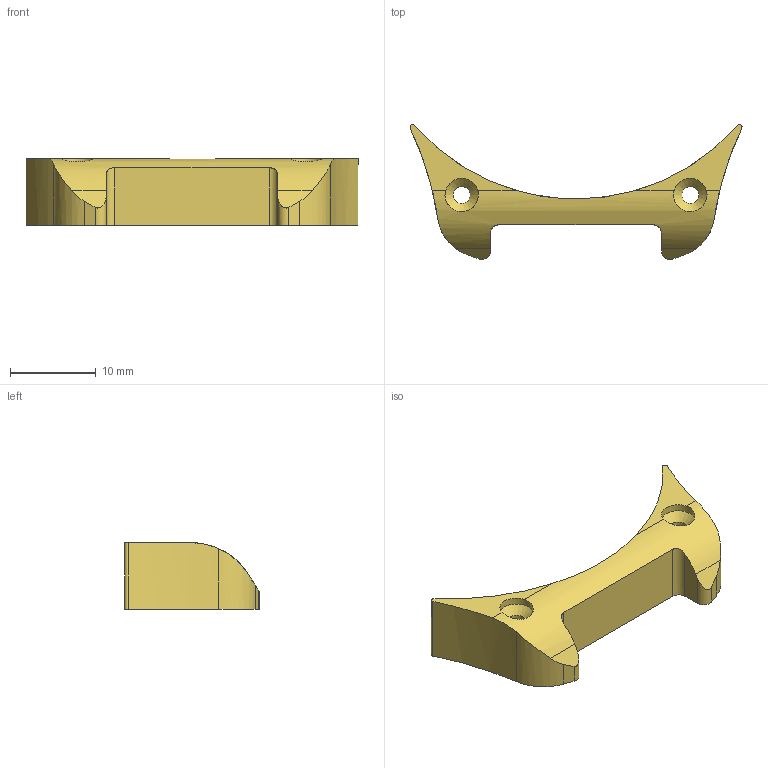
import math

import cadquery as cq

LENGTH = 38.8
DEPTH = 15.75
HEIGHT = 7.8
FRONT_Y = -8.04
HORN_TOP_Y = FRONT_Y + DEPTH

HORN_RADIUS = 0.3
BACK_RADIUS = 25.0

CORNER_TOP = (16.16, -3.26)
CORNER_TOP_LEAN = 8.5

TOE_ANGLE = 19.0
TOE_RADIUS = 1.0

NOTCH_HALF_WIDTH = 10.0
NOTCH_Y = -4.0
NOTCH_RADIUS = 1.0

CROWN_RADIUS = 8.0
CROWN_ANGLE = 58.0

HOLE_X = 13.36
HOLE_Y = -0.52
HOLE_DIAMETER = 2.0
HEAD_DIAMETER = 3.9
RECESS_DEPTH = 0.85
COUNTERSINK_DEPTH = (HEAD_DIAMETER - HOLE_DIAMETER) / 2


def polar(center, radius, degrees):
    """Point at a radius and angle about a center."""
    angle = math.radians(degrees)
    return (center[0] + radius * math.cos(angle), center[1] + radius * math.sin(angle))


def mirrored(point):
    """Same point on the other side of the YZ plane."""
    return (-point[0], point[1])


def arc_middle(start, end, radius, side):
    """Middle point of a minor arc; side +1 bulges left of start-to-end, -1 right."""
    dx = end[0] - start[0]
    dy = end[1] - start[1]
    chord = math.hypot(dx, dy)
    bulge = side * (radius - math.sqrt(radius**2 - (chord / 2) ** 2))
    return (
        (start[0] + end[0]) / 2 - bulge * dy / chord,
        (start[1] + end[1]) / 2 + bulge * dx / chord,
    )


def horn_points():
    """Right horn: lowest point of the back arc, then the horn round and flank arc."""
    horn_center = (LENGTH / 2 - HORN_RADIUS, HORN_TOP_Y - HORN_RADIUS)
    back_reach = math.sqrt((BACK_RADIUS + HORN_RADIUS) ** 2 - horn_center[0] ** 2)
    back_center = (0, horn_center[1] + back_reach)
    back_lowest = (0, back_center[1] - BACK_RADIUS)

    back_angle = math.degrees(math.atan2(back_reach, -horn_center[0]))
    horn_inner = polar(horn_center, HORN_RADIUS, back_angle)

    corner_normal = polar((0, 0), 1, -CORNER_TOP_LEAN)
    offset = (CORNER_TOP[0] - horn_center[0], CORNER_TOP[1] - horn_center[1])
    offset_along_normal = offset[0] * corner_normal[0] + offset[1] * corner_normal[1]
    offset_squared = offset[0] ** 2 + offset[1] ** 2
    flank_radius = (offset_squared - HORN_RADIUS**2) / (2 * (HORN_RADIUS - offset_along_normal))
    flank_center = polar(CORNER_TOP, flank_radius, -CORNER_TOP_LEAN)
    flank_rise = horn_center[1] - flank_center[1]
    flank_run = horn_center[0] - flank_center[0]
    horn_outer_angle = math.degrees(math.atan2(-flank_rise, -flank_run))
    horn_outer = polar(horn_center, HORN_RADIUS, horn_outer_angle)
    horn_tip = polar(horn_center, HORN_RADIUS, (back_angle + horn_outer_angle) / 2)
    flank_middle = arc_middle(horn_outer, CORNER_TOP, flank_radius, -1)
    return back_lowest, horn_inner, horn_tip, horn_outer, flank_middle


def leg_points():
    """Right leg: middle and end of the corner arc, then the toe round."""
    toe_center = (NOTCH_HALF_WIDTH + TOE_RADIUS, FRONT_Y + TOE_RADIUS)
    toe_outer = polar(toe_center, TOE_RADIUS, TOE_ANGLE - 90)
    toe_inner = (NOTCH_HALF_WIDTH, toe_center[1])
    toe_middle = polar(toe_center, TOE_RADIUS, (TOE_ANGLE - 90 - 180) / 2)

    toe_direction = polar((0, 0), 1, TOE_ANGLE)
    corner_chord_angle = (TOE_ANGLE + 90 - CORNER_TOP_LEAN) / 2
    chord_direction = polar((0, 0), 1, corner_chord_angle)
    span = (CORNER_TOP[0] - toe_outer[0], CORNER_TOP[1] - toe_outer[1])
    cross = toe_direction[0] * chord_direction[1] - toe_direction[1] * chord_direction[0]
    toe_length = (span[0] * chord_direction[1] - span[1] * chord_direction[0]) / cross
    corner_bottom = polar(toe_outer, toe_length, TOE_ANGLE)
    corner_half_turn = math.radians((90 - CORNER_TOP_LEAN - TOE_ANGLE) / 2)
    corner_radius = math.dist(corner_bottom, CORNER_TOP) / (2 * math.sin(corner_half_turn))
    corner_middle = arc_middle(CORNER_TOP, corner_bottom, corner_radius, 1)
    return corner_middle, corner_bottom, toe_outer, toe_middle, toe_inner


def make_body():
    """Outline of the part, extruded to full height."""
    back_lowest, horn_inner, horn_tip, horn_outer, flank_middle = horn_points()
    corner_middle, corner_bottom, toe_outer, toe_middle, toe_inner = leg_points()
    notch_corner = (NOTCH_HALF_WIDTH, NOTCH_Y)

    outline = (
        cq.Workplane("XY")
        .moveTo(*mirrored(horn_inner))
        .threePointArc(back_lowest, horn_inner)
        .threePointArc(horn_tip, horn_outer)
        .threePointArc(flank_middle, CORNER_TOP)
        .threePointArc(corner_middle, corner_bottom)
        .lineTo(*toe_outer)
        .threePointArc(toe_middle, toe_inner)
        .lineTo(*notch_corner)
        .lineTo(*mirrored(notch_corner))
        .lineTo(*mirrored(toe_inner))
        .threePointArc(mirrored(toe_middle), mirrored(toe_outer))
        .lineTo(*mirrored(corner_bottom))
        .threePointArc(mirrored(corner_middle), mirrored(CORNER_TOP))
        .threePointArc(mirrored(flank_middle), mirrored(horn_outer))
        .threePointArc(mirrored(horn_tip), mirrored(horn_inner))
        .close()
    )
    notch_edges = cq.selectors.BoxSelector(
        (-NOTCH_HALF_WIDTH - NOTCH_RADIUS, NOTCH_Y - NOTCH_RADIUS / 2, 0),
        (NOTCH_HALF_WIDTH + NOTCH_RADIUS, NOTCH_Y + NOTCH_RADIUS / 2, HEIGHT),
    )
    return outline.extrude(HEIGHT).edges("|Z").edges(notch_edges).fillet(NOTCH_RADIUS)


def make_crown():
    """Side profile with the flat top and the falling front, across the full length."""
    crown_center = (0, HEIGHT - CROWN_RADIUS)
    arc_middle_point = polar(crown_center, CROWN_RADIUS, 90 + CROWN_ANGLE / 2)
    arc_end = polar(crown_center, CROWN_RADIUS, 90 + CROWN_ANGLE)
    slope_drop = (arc_end[0] - FRONT_Y) * math.tan(math.radians(CROWN_ANGLE))
    return (
        cq.Workplane("YZ")
        .moveTo(HORN_TOP_Y, 0)
        .lineTo(HORN_TOP_Y, HEIGHT)
        .lineTo(0, HEIGHT)
        .threePointArc(arc_middle_point, arc_end)
        .lineTo(FRONT_Y, arc_end[1] - slope_drop)
        .lineTo(FRONT_Y, 0)
        .close()
        .extrude(LENGTH / 2, both=True)
    )


def make_screw_hole(x):
    """Through hole, countersink and head recess to be cut at the given X."""
    recess_floor = HEIGHT - RECESS_DEPTH
    countersink_floor = recess_floor - COUNTERSINK_DEPTH
    half_section = [
        (0, 0),
        (HOLE_DIAMETER / 2, 0),
        (HOLE_DIAMETER / 2, countersink_floor),
        (HEAD_DIAMETER / 2, recess_floor),
        (HEAD_DIAMETER / 2, HEIGHT),
        (0, HEIGHT),
    ]
    cutter = cq.Workplane("XZ").polyline(half_section).close().revolve(360, (0, 0), (0, 1))
    return cutter.translate((x, HOLE_Y, 0))


result = make_body().intersect(make_crown())
for hole_x in (-HOLE_X, HOLE_X):
    result = result.cut(make_screw_hole(hole_x))